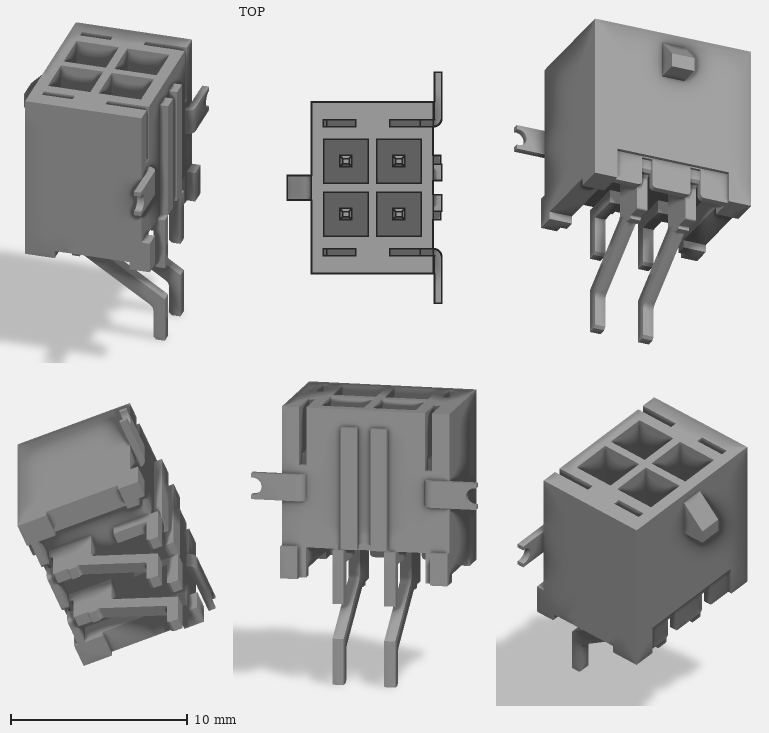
import cadquery as cq
import math


OVERALL_HEIGHT = 15.9

BODY_DEPTH = 6.9
BODY_WIDTH = 9.73
BODY_HEIGHT = 9.87
STANDOFF = 0.5
BOARD_X = BODY_DEPTH + STANDOFF

LATCH_REACH = 1.37
LATCH_WIDTH = 1.4
LATCH_BOTTOM = 7.08
LATCH_NOSE = 0.83

RIB_INNER_Y = 0.4
RIB_OUTER_Y = 1.34
RIB_TOP = 8.89
FOOT_HEIGHT = 1.85

SKIRT_HALF_WIDTH = 3.48
SKIRT_RECESS = 0.24
SKIRT_THICKNESS = 0.41
FLOOR_BOTTOM = 1.76
SLOT_CORNER_RADIUS = 0.22

NOTCH_START = 1.75
NOTCH_END = 6.19
NOTCH_HEIGHT = 0.46

PITCH = 3.0
FRONT_COLUMN_X = 1.95
REAR_COLUMN_X = FRONT_COLUMN_X + PITCH
ROW_YS = (-PITCH / 2, PITCH / 2)
SOCKET_SIZE = 2.51
SOCKET_FLOOR = 2.55

SLOT_INNER_Y = 3.45
SLOT_WIDTH = 0.41
SLOT_OUTER_Y = SLOT_INNER_Y + SLOT_WIDTH
GUIDE_START = 0.68
GUIDE_STEP_X = 0.87
GUIDE_END = 2.51
GUIDE_STEP_Z = 7.31
GUIDE_FLOOR = 4.45

PIN_WIDTH = 0.68
PIN_THICKNESS = 0.65
PIN_TOP = 7.15
TIP_WIDTH = 0.37
TIP_THICKNESS = 0.29
TIP_LENGTH = 0.35
LEG_OUTER_X = 7.35
LEG_INNER_X = LEG_OUTER_X - PIN_WIDTH
LEG_CHAMFER = 0.16

ROOT_START = 0.9
ROOT_END = 3.26
ROOT_BOTTOM = -1.2
ROOT_FILLET = 0.1
BUMP_START = 1.85
BUMP_END = 2.3
BUMP_DROP = 0.19
ARM_START_DROP = 0.05
BARB_X = 0.35
BEAM_BOTTOM = 0.99
BARB_TOP_FILLET = 0.08
BARB_CHAMFER = 0.16
ARM_SLOPE = math.tan(math.radians(33.1))
ARM_OUTER_KNEE_Z = -3.35
ARM_INNER_KNEE_Z = -3.96
KNEE_FILLET = 0.4
ARM_START_FILLET = 0.19
FRONT_LEG_BOTTOM = BODY_HEIGHT - OVERALL_HEIGHT

REAR_LEG_BOTTOM = -1.34

NAIL_BOTTOM = 4.52
NAIL_HEIGHT = 1.51
NAIL_END_Y = 6.55
NAIL_BEND_RADIUS = STANDOFF
NAIL_HOLE_RADIUS = 0.5
NAIL_MOUTH_LENGTH = 0.11
NAIL_HOLE_CENTER_Y = NAIL_END_Y - NAIL_MOUTH_LENGTH
NAIL_ANCHOR_START = 4.45
NAIL_ANCHOR_END = NOTCH_END
NAIL_ANCHOR_HEIGHT = 2.55
NAIL_SHOULDER_HEIGHT = 1.99


def block(x_range, y_range, z_range):
    """Box between two X, two Y and two Z positions."""
    (x0, x1), (y0, y1), (z0, z1) = x_range, y_range, z_range
    return cq.Workplane("XY").box(x1 - x0, y1 - y0, z1 - z0, centered=False).translate((x0, y0, z0))


def centered_range(center, size):
    return (center - size / 2, center + size / 2)


def mirrored_pair(shape):
    """The shape together with its mirror image across Y = 0."""
    return shape.union(shape.mirror("XZ"))


def make_latch():
    nose_top = LATCH_BOTTOM + LATCH_NOSE
    return (
        cq.Workplane("XZ")
        .moveTo(0, LATCH_BOTTOM)
        .lineTo(-LATCH_REACH, LATCH_BOTTOM)
        .lineTo(-LATCH_REACH, nose_top)
        .lineTo(0, nose_top + LATCH_REACH)
        .close()
        .extrude(LATCH_WIDTH / 2, both=True)
    )


def make_skirt():
    """Wall below the floor, with a round-cornered slot for each row of pins."""
    x_range = (SKIRT_RECESS, SKIRT_RECESS + SKIRT_THICKNESS)
    skirt = block(x_range, (-SKIRT_HALF_WIDTH, SKIRT_HALF_WIDTH), (0, FLOOR_BOTTOM))
    for y in ROW_YS:
        skirt = skirt.cut(block(x_range, centered_range(y, PIN_THICKNESS), (0, FLOOR_BOTTOM)))
        for side in (-1, 1):
            edge = (SKIRT_RECESS + SKIRT_THICKNESS / 2, y + side * PIN_THICKNESS / 2, 0)
            skirt = skirt.edges(cq.NearestToPointSelector(edge)).fillet(SLOT_CORNER_RADIUS)
    return skirt


def make_housing_shell():
    half_width = BODY_WIDTH / 2
    wall_to_board = (BODY_DEPTH, BOARD_X)
    skirt_span = (-SKIRT_HALF_WIDTH, SKIRT_HALF_WIDTH)

    body = block((0, BODY_DEPTH), (-half_width, half_width), (0, BODY_HEIGHT))
    foot = block(wall_to_board, (SLOT_OUTER_Y, half_width), (0, FOOT_HEIGHT))
    rib = block(wall_to_board, (RIB_INNER_Y, RIB_OUTER_Y), (FOOT_HEIGHT, RIB_TOP))
    body = body.union(make_latch()).union(mirrored_pair(foot)).union(mirrored_pair(rib))

    body = body.cut(block((0, SKIRT_RECESS), skirt_span, (0, FOOT_HEIGHT)))
    body = body.cut(block((SKIRT_RECESS, BODY_DEPTH), skirt_span, (0, FLOOR_BOTTOM)))
    body = body.union(make_skirt())

    notch = block((NOTCH_START, NOTCH_END), (SKIRT_HALF_WIDTH, half_width), (0, NOTCH_HEIGHT))
    return body.cut(mirrored_pair(notch))


def make_guide_slot():
    """Stepped blind slot in the top face, near the latch-side wall."""
    y_range = (SLOT_INNER_Y, SLOT_OUTER_Y)
    shallow = block((GUIDE_START, GUIDE_END), y_range, (GUIDE_STEP_Z, BODY_HEIGHT))
    deep = block((GUIDE_STEP_X, GUIDE_END), y_range, (GUIDE_FLOOR, BODY_HEIGHT))
    return shallow.union(deep)


def make_nail_slot():
    """Blind slot in the top face, open at the +X wall."""
    y_range = (SLOT_INNER_Y, SLOT_OUTER_Y)
    return block((NAIL_ANCHOR_START, BODY_DEPTH), y_range, (NAIL_BOTTOM, BODY_HEIGHT))


def make_housing():
    housing = make_housing_shell()
    for x in (FRONT_COLUMN_X, REAR_COLUMN_X):
        for y in ROW_YS:
            x_range = centered_range(x, SOCKET_SIZE)
            y_range = centered_range(y, SOCKET_SIZE)
            housing = housing.cut(block(x_range, y_range, (SOCKET_FLOOR, BODY_HEIGHT)))
            x_range = centered_range(x, PIN_WIDTH)
            y_range = centered_range(y, PIN_THICKNESS)
            housing = housing.cut(block(x_range, y_range, (FLOOR_BOTTOM, SOCKET_FLOOR)))
    return housing.cut(mirrored_pair(make_guide_slot())).cut(mirrored_pair(make_nail_slot()))


def make_stem(column_x):
    """Upright contact with a pyramid tip, standing on the underside of the floor."""
    straight_top = PIN_TOP - TIP_LENGTH
    stem = block(
        centered_range(0, PIN_WIDTH),
        centered_range(0, PIN_THICKNESS),
        (FLOOR_BOTTOM, straight_top),
    )
    tip = (
        cq.Workplane("XY", origin=(0, 0, straight_top))
        .rect(PIN_WIDTH, PIN_THICKNESS)
        .workplane(offset=TIP_LENGTH)
        .rect(TIP_WIDTH, TIP_THICKNESS)
        .loft()
    )
    return stem.union(tip).translate((column_x, 0, 0))


def extrude_plate(points):
    """Flat plate of pin thickness with the given X-Z outline."""
    return cq.Workplane("XZ").polyline(points).close().extrude(PIN_THICKNESS / 2, both=True)


def fillet_corner(plate, point, radius):
    """Round the Y-parallel edge at the given X-Z corner."""
    x, z = point
    return plate.edges(cq.NearestToPointSelector((x, 0, z))).fillet(radius)


def make_front_pin():
    barb_top = (BARB_X, FLOOR_BOTTOM)
    root_lower = (ROOT_START, ROOT_BOTTOM)
    arm_start_z = ROOT_BOTTOM - ARM_START_DROP
    arm_lower_start = (LEG_INNER_X - (arm_start_z - ARM_INNER_KNEE_Z) / ARM_SLOPE, arm_start_z)
    inner_knee = (LEG_INNER_X, ARM_INNER_KNEE_Z)
    arm_upper_start = (ROOT_END, ARM_OUTER_KNEE_Z + (LEG_OUTER_X - ROOT_END) * ARM_SLOPE)

    plate = extrude_plate([
        barb_top,
        (BARB_X, BEAM_BOTTOM + BARB_CHAMFER),
        (BARB_X + BARB_CHAMFER, BEAM_BOTTOM),
        (ROOT_START - BARB_CHAMFER, BEAM_BOTTOM),
        (ROOT_START, BEAM_BOTTOM - BARB_CHAMFER),
        root_lower,
        (BUMP_START, ROOT_BOTTOM),
        (BUMP_START, ROOT_BOTTOM - BUMP_DROP),
        (BUMP_END, ROOT_BOTTOM - BUMP_DROP),
        (BUMP_END, arm_start_z),
        arm_lower_start,
        inner_knee,
        (LEG_INNER_X, FRONT_LEG_BOTTOM + LEG_CHAMFER),
        (LEG_INNER_X + LEG_CHAMFER, FRONT_LEG_BOTTOM),
        (LEG_OUTER_X, FRONT_LEG_BOTTOM),
        (LEG_OUTER_X, ARM_OUTER_KNEE_Z),
        arm_upper_start,
        (ROOT_END, FLOOR_BOTTOM),
    ])
    for corner, radius in (
        (barb_top, BARB_TOP_FILLET),
        (root_lower, ROOT_FILLET),
        ((BUMP_START, ROOT_BOTTOM), ROOT_FILLET),
        ((BUMP_END, arm_start_z), ROOT_FILLET),
        (arm_lower_start, ARM_START_FILLET),
        (inner_knee, KNEE_FILLET),
        (arm_upper_start, KNEE_FILLET),
    ):
        plate = fillet_corner(plate, corner, radius)
    return plate.union(make_stem(FRONT_COLUMN_X))


def make_rear_pin():
    beam_start = REAR_COLUMN_X - PIN_WIDTH / 2
    plate = extrude_plate([
        (beam_start, FLOOR_BOTTOM),
        (beam_start, BEAM_BOTTOM),
        (LEG_INNER_X, BEAM_BOTTOM),
        (LEG_INNER_X, REAR_LEG_BOTTOM + LEG_CHAMFER),
        (LEG_INNER_X + LEG_CHAMFER, REAR_LEG_BOTTOM),
        (LEG_OUTER_X, REAR_LEG_BOTTOM),
        (LEG_OUTER_X, FLOOR_BOTTOM),
    ])
    return plate.union(make_stem(REAR_COLUMN_X))


def make_nail():
    """L-shaped strip on the +Y side: anchor in its slot, bent tab with an open-ended hole."""
    z_range = (NAIL_BOTTOM, NAIL_BOTTOM + NAIL_HEIGHT)
    slot_range = (SLOT_INNER_Y, SLOT_OUTER_Y)
    arm = block((NAIL_ANCHOR_START, BOARD_X), slot_range, z_range)
    tab = block((BOARD_X - SLOT_WIDTH, BOARD_X), (SLOT_INNER_Y, NAIL_END_Y), z_range)
    hole_z = NAIL_BOTTOM + NAIL_HEIGHT / 2
    bend_edge = (BOARD_X, SLOT_INNER_Y, hole_z)
    strip = arm.union(tab).edges(cq.NearestToPointSelector(bend_edge)).fillet(NAIL_BEND_RADIUS)

    hole = (
        cq.Workplane("YZ", origin=(BOARD_X - SLOT_WIDTH, 0, 0))
        .center(NAIL_HOLE_CENTER_Y, hole_z)
        .circle(NAIL_HOLE_RADIUS)
        .extrude(SLOT_WIDTH)
    )
    mouth = block(
        (BOARD_X - SLOT_WIDTH, BOARD_X),
        (NAIL_HOLE_CENTER_Y, NAIL_END_Y),
        centered_range(hole_z, 2 * NAIL_HOLE_RADIUS),
    )
    anchor = block(
        (NAIL_ANCHOR_START, NAIL_ANCHOR_END),
        slot_range,
        (NAIL_BOTTOM, NAIL_BOTTOM + NAIL_ANCHOR_HEIGHT),
    )
    shoulder = block(
        (NAIL_ANCHOR_END, BODY_DEPTH),
        slot_range,
        (NAIL_BOTTOM, NAIL_BOTTOM + NAIL_SHOULDER_HEIGHT),
    )
    return strip.cut(hole).cut(mouth).union(anchor).union(shoulder)


housing = make_housing()
front_pins = [make_front_pin().translate((0, y, 0)) for y in ROW_YS]
rear_pins = [make_rear_pin().translate((0, y, 0)) for y in ROW_YS]
nail = make_nail()
nails = [nail, nail.mirror("XZ")]

bodies = [housing, *front_pins, *rear_pins, *nails]
result = cq.Compound.makeCompound([solid for body in bodies for solid in body.solids().vals()])